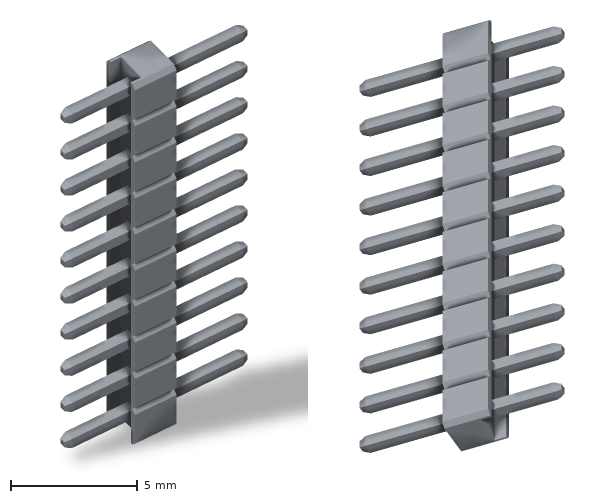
import cadquery as cq

module_count = 10
pitch = 2.0

block_width = pitch
block_depth = 2.0
corner_chamfer = 0.2
wall_thickness = 0.3
channel_depth = 0.5

pin_size = 0.5
pin_front_length = 2.8
pin_back_length = 4.0
tip_length = 0.3
tip_size = 0.3

channel_width = block_width - 2 * wall_thickness
block_front = -block_depth / 2
block_back = block_depth / 2
pin_front = block_front - pin_front_length
pin_back = block_back + pin_back_length


def make_block():
    """Block with chamfered long corners and an open channel along its front face."""
    block = (
        cq.Workplane("XY")
        .box(block_width, block_depth, pitch)
        .edges("|Y")
        .chamfer(corner_chamfer)
    )
    channel = (
        cq.Workplane("XY")
        .box(channel_width, channel_depth, pitch)
        .translate((0, block_front + channel_depth / 2, 0))
    )
    return block.cut(channel)


def make_tip(end_y, direction):
    """Tapered pin end that narrows to its end face at end_y; direction is its outward Y sense."""
    base_plane = cq.Plane(
        origin=(0, end_y - direction * tip_length, 0),
        xDir=(1, 0, 0),
        normal=(0, direction, 0),
    )
    return (
        cq.Workplane(base_plane)
        .rect(pin_size, pin_size)
        .workplane(offset=tip_length)
        .rect(tip_size, tip_size)
        .loft(ruled=True)
    )


def make_pin():
    """Square pin with a tapered tip at each end."""
    shank_length = pin_back - pin_front - 2 * tip_length
    shank_center = (pin_back + pin_front) / 2
    shank = (
        cq.Workplane("XY")
        .box(pin_size, shank_length, pin_size)
        .translate((0, shank_center, 0))
    )
    return shank.union(make_tip(pin_front, -1)).union(make_tip(pin_back, 1))


def make_module(index):
    """One block and its pin as a single solid, at its place in the strip."""
    center_z = (index - (module_count - 1) / 2) * pitch
    return make_block().union(make_pin()).translate((0, 0, center_z))


modules = [make_module(index) for index in range(module_count)]

result = cq.Compound.makeCompound([module.solids().val() for module in modules])